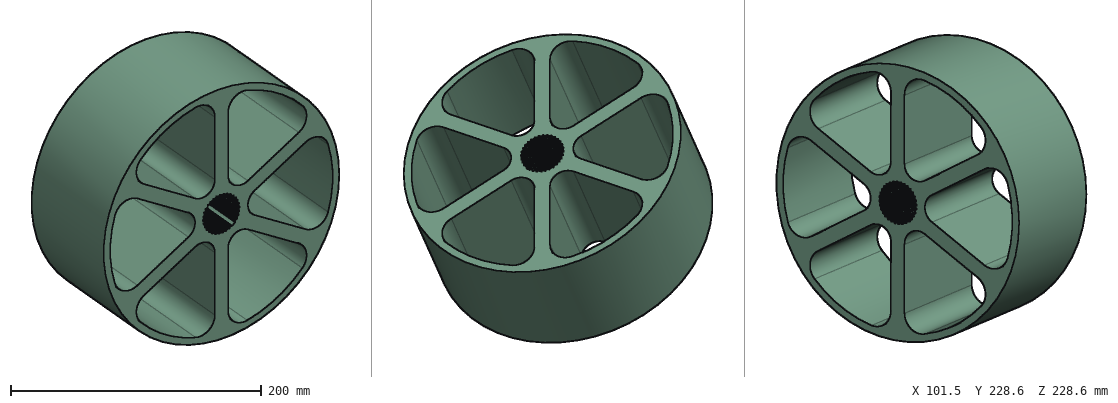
import cadquery as cq
import math

wheel_radius = 114.3
wheel_width = 101.5

spoke_count = 6
spoke_width = 12.8
rim_thickness = 6.5
hub_corner_radius = 12.8
rim_corner_radius = 15.0

tooth_pitch_count = 32
tooth_tip_radius = 16.7
groove_root_radius = 17.5
tooth_tip_share = 0.25
groove_root_share = 0.1
missing_tooth_angle = math.radians(-47.8)


def polar_point(radius, angle):
    """Point in the wheel plane; the angle is in radians from the Y axis."""
    return (radius * math.cos(angle), radius * math.sin(angle))


def add_arc(sketch, radius, start_angle, end_angle):
    """Continue the sketch along an arc about the axle, from its current point at start_angle."""
    middle_angle = (start_angle + end_angle) / 2
    return sketch.threePointArc(polar_point(radius, middle_angle), polar_point(radius, end_angle))


def wheel_body():
    return cq.Workplane("YZ").circle(wheel_radius).extrude(wheel_width)


def spoke_pocket():
    """Through pocket centred on the Y axis, between two neighbouring spokes."""
    half_angle = math.pi / spoke_count
    outer_radius = wheel_radius - rim_thickness
    apex_distance = spoke_width / 2 / math.sin(half_angle)
    corner_angle = half_angle - math.asin(spoke_width / 2 / outer_radius)
    sketch = cq.Workplane("YZ").moveTo(apex_distance, 0)
    sketch = sketch.lineTo(*polar_point(outer_radius, -corner_angle))
    sketch = add_arc(sketch, outer_radius, -corner_angle, corner_angle)
    pocket = sketch.close().extrude(wheel_width)
    pocket = pocket.edges("|X and >Z or |X and <Z").fillet(rim_corner_radius)
    return pocket.edges("|X and <Y").fillet(hub_corner_radius)


def splined_bore():
    """Through bore; the missing tooth joins its two neighbouring grooves into one wide floor."""
    pitch_angle = 2 * math.pi / tooth_pitch_count
    half_tip = pitch_angle * tooth_tip_share / 2
    half_root = pitch_angle * (1 - groove_root_share) / 2

    start_angle = missing_tooth_angle - pitch_angle + half_root
    sketch = cq.Workplane("YZ").moveTo(*polar_point(groove_root_radius, start_angle))
    floor_start = start_angle
    for tooth in range(1, tooth_pitch_count):
        tooth_angle = missing_tooth_angle + tooth * pitch_angle
        sketch = add_arc(sketch, groove_root_radius, floor_start, tooth_angle - half_root)
        sketch = sketch.lineTo(*polar_point(tooth_tip_radius, tooth_angle - half_tip))
        sketch = add_arc(sketch, tooth_tip_radius, tooth_angle - half_tip, tooth_angle + half_tip)
        floor_start = tooth_angle + half_root
        if tooth < tooth_pitch_count - 1:
            sketch = sketch.lineTo(*polar_point(groove_root_radius, floor_start))
    return sketch.close().extrude(wheel_width)


result = wheel_body().cut(splined_bore())
pocket = spoke_pocket()
for index in range(spoke_count):
    turn = index * 360 / spoke_count
    result = result.cut(pocket.rotate((0, 0, 0), (1, 0, 0), turn))